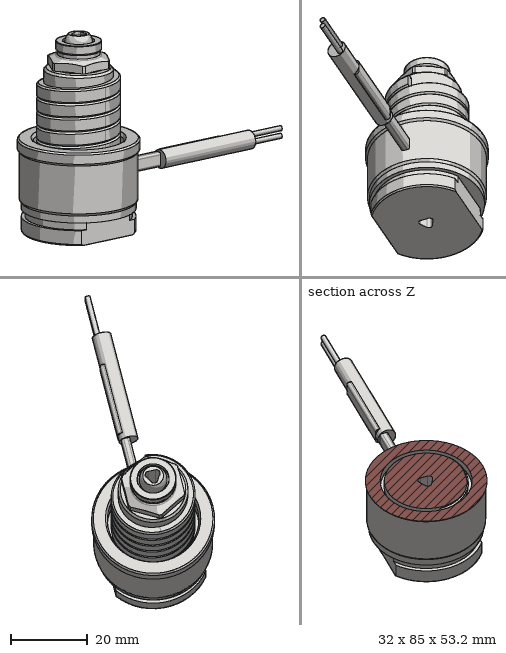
import cadquery as cq
import math

height = 53.2
base_radius = 14.95
base_bevel_radius = 14.6
base_bevel_height = 0.4
base_top = 4.1
neck_radius = 14.0
ring_bottom = 6.2
ring_radius = 15.0
ring_top = 8.1
barrel_radius = 15.5
barrel_bottom = 8.8
barrel_top = 21.7
flange_radius = 16.0
flange_bottom = 22.3
flange_top = 25.2
flange_bevel = 0.45
flat_width = 24.0

well_rim_radius = 12.4
well_radius = 11.9
well_bevel_depth = 1.0
well_depth = 5.0

core_radius = 9.1
core_top = 44.2
core_bevel = 0.6
thread_radius = 10.95
thread_pitch = 3.84
thread_bottom = 10.0
thread_top = 42.4
thread_end_angle = 87.5
groove_turns = 4.5
crest_bevel = 0.45
cutter_overlap = 0.2

shank_radius = 6.7
shank_top_radius = 7.1
nut_bottom = 44.6
nut_flats = 15.0
nut_corner_radius = 8.45
nut_edge_height = 46.65
nut_cone_radius = 6.0
nut_top = 47.5

groove_radius = 5.6
groove_bottom = 47.8
groove_top = 48.75
collar_radius = 6.0
collar_bottom = 49.2
collar_top = 51.4
collar_bevel = 0.15
recess_radius = 4.15
recess_floor = 50.0
dome_radius = 3.65
tip_radius = 2.7

bore_side_distance = 1.5
bore_corner_fillet = 0.9

cable_height = 14.5
cable_x = -0.8
cable_width = 2.25
cable_depth = 3.9
cable_corner = 0.6
cable_start = 14.0
sleeve_height = 14.65
sleeve_radius = 2.5
sleeve_start = 27.4
sleeve_end = 57.7
clip_start = 29.0
clip_end = 49.0
clip_thickness = 1.35
clip_depth = 4.6
clip_corner = 0.85
wire_radius = 0.7
wire_x = -1.05
wire_spacing = 2.05
wire_end = 69.0


def turned(outline):
    """Revolve an outline of (radius, height) points about the Z axis."""
    return cq.Workplane("XZ").polyline(outline).close().revolve(360, (0, 0, 0), (0, 1, 0))


def cylinder(radius, bottom, top):
    return cq.Workplane("XY").workplane(offset=bottom).circle(radius).extrude(top - bottom)


def along_y(x, z, y_start):
    """Sketch plane facing +Y at y_start; its local X axis points to -X."""
    return cq.Workplane("XZ", origin=(x, y_start, z)).transformed(rotate=(0, 180, 0))


def make_base():
    """Wrench base with two flats at X = +/- half the flat width."""
    base = turned([
        (0, 0),
        (base_bevel_radius, 0),
        (base_radius, base_bevel_height),
        (base_radius, base_top),
        (neck_radius, base_top),
        (neck_radius, ring_bottom),
        (0, ring_bottom),
    ])
    flats = cq.Workplane("XY").rect(flat_width, 2 * flange_radius).extrude(ring_bottom)
    return base.intersect(flats)


def make_barrel():
    """Ring, barrel and flange, with the well that surrounds the stem."""
    return turned([
        (0, ring_bottom),
        (ring_radius, ring_bottom),
        (ring_radius, ring_top),
        (barrel_radius, barrel_bottom),
        (barrel_radius, barrel_top),
        (flange_radius, flange_bottom),
        (flange_radius, flange_top - flange_bevel),
        (flange_radius - flange_bevel, flange_top),
        (well_rim_radius, flange_top),
        (well_radius, flange_top - well_bevel_depth),
        (well_radius, flange_top - well_depth),
        (0, flange_top - well_depth),
    ])


def helical_cutter(section, turns, end_angle, end_height):
    """Sweep a list of (radius, height) points up a helix that ends at the given angle and height."""
    rise = turns * thread_pitch
    path = cq.Wire.makeHelix(thread_pitch, rise, core_radius)
    cutter = cq.Workplane("XZ").polyline(section).close().sweep(cq.Workplane(path), isFrenet=True)
    start_angle = end_angle - 360 * turns
    return cutter.rotate((0, 0, 0), (0, 0, 1), start_angle).translate((0, 0, end_height - rise))


def make_thread():
    """Right-hand square ridge with bevelled crests; successive turns touch at the bevels."""
    thread = cylinder(thread_radius, thread_bottom, thread_top)
    inner = core_radius - cutter_overlap
    outer = thread_radius + cutter_overlap
    bevel_foot = -crest_bevel - cutter_overlap

    groove = [
        (thread_radius - crest_bevel, 0),
        (outer, bevel_foot),
        (outer, -bevel_foot),
    ]
    thread = thread.cut(
        helical_cutter(groove, groove_turns, thread_end_angle, thread_top - thread_pitch)
    )

    clearance_height = thread_pitch + cutter_overlap
    clearance = [
        (inner, 0),
        (thread_radius - crest_bevel, 0),
        (outer, bevel_foot),
        (outer, clearance_height),
        (inner, clearance_height),
    ]
    for half_turn in range(2):
        end_angle = thread_end_angle - 180 * half_turn
        end_height = thread_top - thread_pitch * half_turn / 2
        thread = thread.cut(helical_cutter(clearance, 0.5, end_angle, end_height))
    return thread


def make_stem():
    """Bevelled core with its thread, and the short shank below the nut."""
    core = cylinder(core_radius, ring_bottom, core_top).faces(">Z").chamfer(core_bevel)
    shank = turned([
        (0, core_top),
        (shank_radius, core_top),
        (shank_top_radius, nut_bottom),
        (0, nut_bottom),
    ])
    return core.union(shank).union(make_thread())


def make_nut():
    """Hexagon with corners on the Y axis, rounded off and coned on top."""
    across_corners = nut_flats / math.cos(math.pi / 6)
    hexagon = cq.Workplane("XY").workplane(offset=nut_bottom).polygon(6, across_corners)
    hexagon = hexagon.extrude(nut_top - nut_bottom).rotate((0, 0, 0), (0, 0, 1), 30)
    envelope = turned([
        (0, nut_bottom),
        (nut_corner_radius, nut_bottom),
        (nut_corner_radius, nut_edge_height),
        (nut_cone_radius, nut_top),
        (0, nut_top),
    ])
    return hexagon.intersect(envelope)


def make_tip():
    """Grooved collar with a recess that holds a truncated dome."""
    collar = turned([
        (0, nut_top),
        (nut_cone_radius, nut_top),
        (groove_radius, groove_bottom),
        (groove_radius, groove_top),
        (collar_radius, collar_bottom),
        (collar_radius, collar_top - collar_bevel),
        (collar_radius - collar_bevel, collar_top),
        (recess_radius, collar_top),
        (recess_radius, recess_floor),
        (0, recess_floor),
    ])
    dome_center = height - math.sqrt(dome_radius**2 - tip_radius**2)
    dome = cq.Workplane("XY").sphere(dome_radius).translate((0, 0, dome_center))
    return collar.union(dome.intersect(cylinder(dome_radius, nut_top, height)))


def make_bore():
    """Rounded triangular bore through the whole body, with one side facing +Y."""
    triangle = cq.Workplane("XY").polygon(3, 4 * bore_side_distance).extrude(height)
    triangle = triangle.edges("|Z").fillet(bore_corner_fillet)
    return triangle.rotate((0, 0, 0), (0, 0, 1), -90)


def make_cable():
    """Flat cable, sleeve with a side clip, and two wire ends."""
    cable = along_y(cable_x, cable_height, cable_start).rect(cable_width, cable_depth)
    cable = cable.extrude(sleeve_start - cable_start).edges("|Y").fillet(cable_corner)

    sleeve = along_y(0, sleeve_height, sleeve_start).circle(sleeve_radius)
    sleeve = sleeve.extrude(sleeve_end - sleeve_start)

    clip_x = clip_thickness / 2 - sleeve_radius
    clip = along_y(clip_x, cable_height, clip_start).rect(clip_thickness, clip_depth)
    clip = clip.extrude(clip_end - clip_start).edges("|Y and <X").fillet(clip_corner)

    harness = cable.union(sleeve).union(clip)
    for side in (-1, 1):
        wire_z = cable_height + side * wire_spacing / 2
        wire = along_y(wire_x, wire_z, sleeve_start).circle(wire_radius)
        harness = harness.union(wire.extrude(wire_end - sleeve_start))
    return harness


result = (
    make_base()
    .union(make_barrel())
    .union(make_stem())
    .union(make_nut())
    .union(make_tip())
    .union(make_cable())
    .cut(make_bore())
)